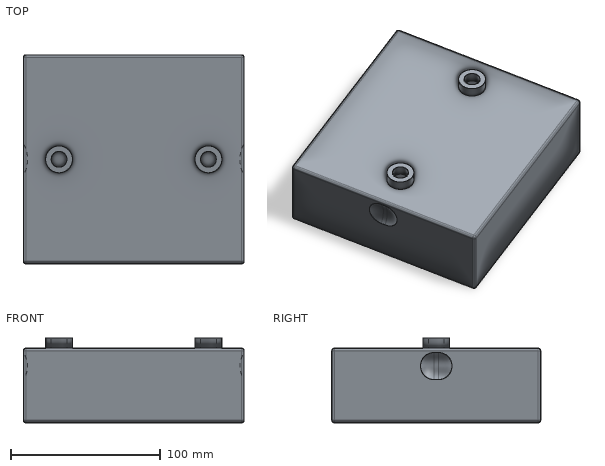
import cadquery as cq

length = 148.0
width = 140.0
overall_height = 57.0
boss_height = 7.0
block_height = overall_height - boss_height
edge_radius = 1.9

boss_diameter = 18.0
bore_diameter = 10.5
bore_depth = boss_height
boss_spacing = 100.0

grip_diameter = 32.0
grip_radius = grip_diameter / 2
grip_straight = 3.0
grip_depth = 2.8
grip_below_top = 12.0


def make_block():
    block = cq.Workplane("XY").box(length, width, block_height, centered=(True, True, False))
    return block.edges().fillet(edge_radius)


def cylinder_on_bosses(diameter, bottom, top):
    """A cylinder on each boss axis, running from one height to another."""
    boss_centres = [(-boss_spacing / 2, 0), (boss_spacing / 2, 0)]
    plane = cq.Workplane("XY").workplane(offset=bottom)
    return plane.pushPoints(boss_centres).circle(diameter / 2).extrude(top - bottom)


def grip_cutter(side):
    """Ball-ended cutter along Y at the end face on the given X side (-1 or 1)."""
    axis_x = side * (length / 2 + grip_radius - grip_depth)
    axis_z = block_height - grip_below_top
    body = cq.Workplane("XZ").circle(grip_radius).extrude(grip_straight / 2, both=True)
    for end in (-1, 1):
        ball = cq.Workplane("XY").sphere(grip_radius)
        body = body.union(ball.translate((0, end * grip_straight / 2, 0)))
    return body.translate((axis_x, 0, axis_z))


result = make_block()
result = result.union(cylinder_on_bosses(boss_diameter, block_height, overall_height))
result = result.cut(cylinder_on_bosses(bore_diameter, overall_height - bore_depth, overall_height))
for side in (-1, 1):
    result = result.cut(grip_cutter(side))